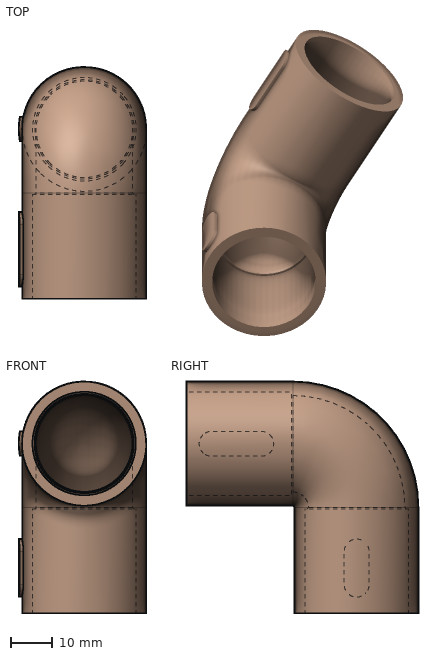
import cadquery as cq


outer_dia = 30.0
overall_size = 56.0
bend_radius = 15.4
bore_dia = 23.3

socket_dia = 25.0
lead_in_dia = 24.0

pad_width = 6.0
pad_height = 0.8
front_pad_length = 18.0
front_pad_offset = 12.0
lower_pad_length = 14.0
lower_pad_offset = 11.0

outer_radius = outer_dia / 2
mouth_distance = overall_size - outer_radius
leg_length = mouth_distance - bend_radius
lead_in_length = (lead_in_dia - bore_dia) / 2
socket_depth = leg_length - lead_in_length
pad_radius = outer_radius + pad_height

LOWER_MOUTH = cq.Plane(origin=(0, 0, -mouth_distance), xDir=(1, 0, 0), normal=(0, 0, 1))
FRONT_MOUTH = cq.Plane(origin=(0, -mouth_distance, 0), xDir=(1, 0, 0), normal=(0, 1, 0))

BEND_AXIS_START = (1, bend_radius)
BEND_AXIS_END = (0, bend_radius)


def elbow_rod(diameter):
    """Solid rod along the elbow centreline: two straight legs joined by a quarter-turn bend."""
    radius = diameter / 2
    lower_leg = cq.Workplane(LOWER_MOUTH).circle(radius).extrude(leg_length)
    front_leg = cq.Workplane(FRONT_MOUTH).circle(radius).extrude(leg_length)
    bend = (
        cq.Workplane(FRONT_MOUTH)
        .workplane(offset=leg_length)
        .circle(radius)
        .revolve(90, BEND_AXIS_START, BEND_AXIS_END)
    )
    return lower_leg.union(bend).union(front_leg)


def socket_cavity(mouth):
    """Straight socket, a flat step, then the lead-in cone down to the bore."""
    socket = cq.Workplane(mouth).circle(socket_dia / 2).extrude(socket_depth)
    cone = (
        cq.Workplane(mouth)
        .workplane(offset=socket_depth)
        .circle(lead_in_dia / 2)
        .workplane(offset=lead_in_length)
        .circle(bore_dia / 2)
        .loft()
    )
    return socket.union(cone)


def label_pad(mouth, length, offset, slot_angle):
    """Rounded pad that follows the tube wall, centred at the given distance from the mouth."""
    embedded_radius = outer_radius - pad_height
    sleeve = cq.Workplane(mouth).circle(pad_radius).circle(embedded_radius).extrude(leg_length)
    centre = mouth.origin + mouth.zDir * offset
    slot = (
        cq.Workplane("YZ", origin=(0, centre.y, centre.z))
        .slot2D(length, pad_width, slot_angle)
        .extrude(-outer_dia)
    )
    return sleeve.intersect(slot)


body = elbow_rod(outer_dia)
body = body.union(label_pad(FRONT_MOUTH, front_pad_length, front_pad_offset, slot_angle=0))
body = body.union(label_pad(LOWER_MOUTH, lower_pad_length, lower_pad_offset, slot_angle=90))

body = body.cut(elbow_rod(bore_dia))
for mouth in (LOWER_MOUTH, FRONT_MOUTH):
    body = body.cut(socket_cavity(mouth))

result = body